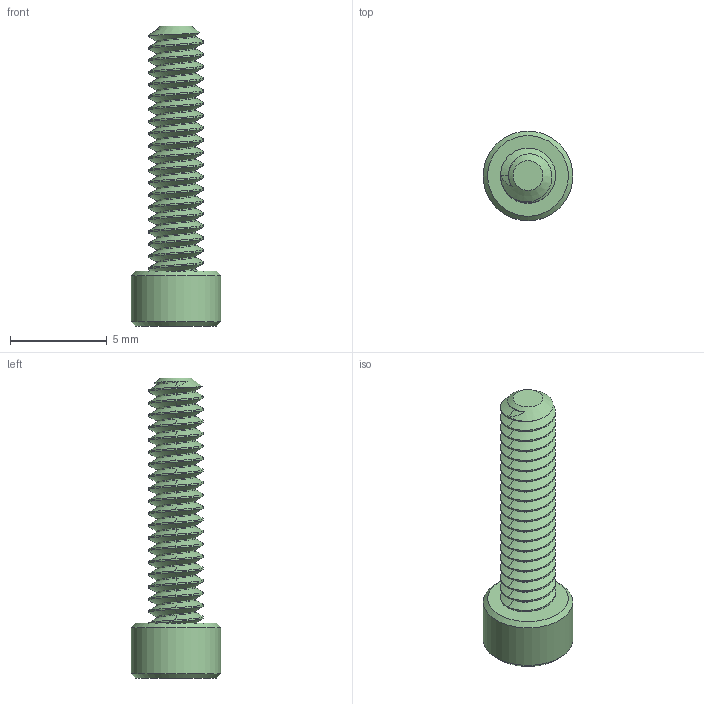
import cadquery as cq
import math

INCH = 25.4

head_diameter = 0.183 * INCH
head_height = 0.112 * INCH
head_chamfer = 0.05 * head_diameter

major_diameter = 0.112 * INCH
shank_length = 0.5 * INCH
tip_flat_diameter = 1.55
tip_cone_height = 0.47

threads_per_inch = 40
pitch = INCH / threads_per_inch
flank_half_angle = 30
crest_flat = pitch / 8
root_flat = pitch / 8
crest_angle = 180
crest_depth = 1.145

major_radius = major_diameter / 2
tip_z = head_height + shank_length
flank_slope = math.tan(math.radians(flank_half_angle))
thread_depth = (pitch - crest_flat - root_flat) / (2 * flank_slope)
root_radius = major_radius - thread_depth

cutter_overshoot = 0.03
cutter_radius = major_radius + cutter_overshoot
spare_turns = 3
cutter_turns = math.ceil(shank_length / pitch) + spare_turns
turns_from_crest_to_last_groove = 2.5


def make_head():
    """Cylindrical head, chamfered alike at both ends."""
    head = cq.Workplane("XY").circle(head_diameter / 2).extrude(head_height)
    return head.faces("<Z or >Z").chamfer(head_chamfer)


def make_blank_shank():
    """Unthreaded shank with its conical tip, revolved about Z."""
    return (
        cq.Workplane("XZ")
        .moveTo(0, head_height)
        .lineTo(major_radius, head_height)
        .lineTo(major_radius, tip_z - tip_cone_height)
        .lineTo(tip_flat_diameter / 2, tip_z)
        .lineTo(0, tip_z)
        .close()
        .revolve(360, (0, 0), (0, 1))
    )


def make_groove_cutter():
    """Helical V cutter that leaves the thread ridge: four ruled helical faces and two flat ends."""
    cutter_length = cutter_turns * pitch
    last_groove_z = tip_z - crest_depth + turns_from_crest_to_last_groove * pitch
    first_groove_z = last_groove_z - cutter_length
    root_half = root_flat / 2
    outer_half = root_half + (cutter_radius - root_radius) * flank_slope
    corners = [
        (root_radius, -root_half),
        (cutter_radius, -outer_half),
        (cutter_radius, outer_half),
        (root_radius, root_half),
    ]
    helices = [
        cq.Wire.makeHelix(pitch, pitch, radius).translate(cq.Vector(0, 0, z))
        for radius, z in corners
    ]
    turn_faces = [cq.Face.makeRuledSurface(helices[i - 1], helices[i]) for i in range(len(helices))]
    faces = [
        face.translate(cq.Vector(0, 0, turn * pitch))
        for turn in range(cutter_turns)
        for face in turn_faces
    ]
    for end_z in (0, cutter_length):
        points = [cq.Vector(radius, 0, z + end_z) for radius, z in corners]
        faces.append(cq.Face.makeFromWires(cq.Wire.makePolygon(points, close=True)))
    cutter = cq.Workplane(obj=cq.Solid.makeSolid(cq.Shell.makeShell(faces)))
    return cutter.rotate((0, 0, 0), (0, 0, 1), crest_angle).translate((0, 0, first_groove_z))


threaded_shank = make_blank_shank().cut(make_groove_cutter())
result = make_head().union(threaded_shank)